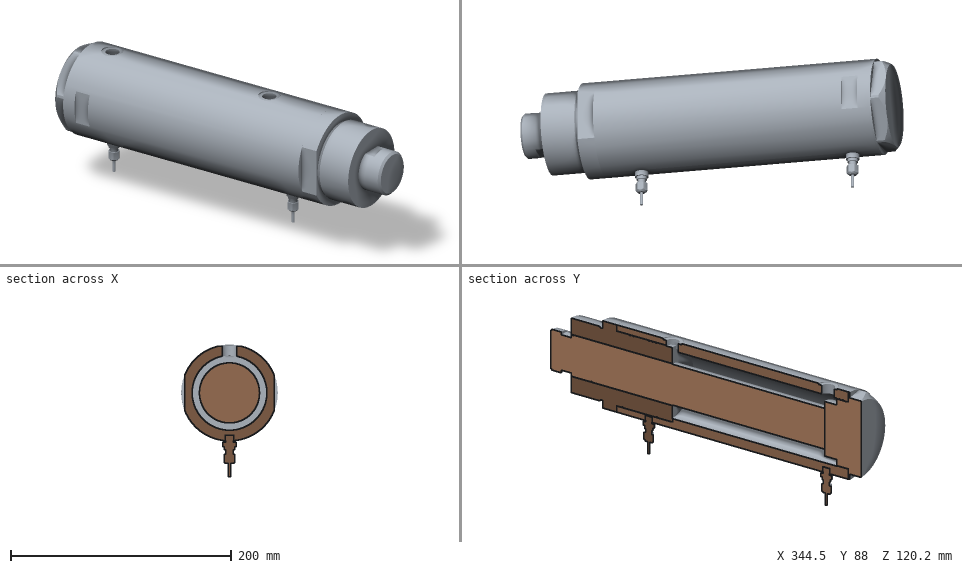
import cadquery as cq
import math

BODY_DIAMETER = 88.0
BODY_RADIUS = BODY_DIAMETER / 2
BORE_RADIUS = 33.8
GUIDE_RADIUS = 37.2
ROD_RADIUS = 20.5
LENGTH = 344.5
FLATS_ACROSS = 75.8

CAP_HEX_END = 12.7
TUBE_START = 14.8
CAP_PLUG_END = 27.5
CAP_NOSE_END = 41.0
GUIDE_START = 209.5
TUBE_END = 271.0
FLANGE_END = 287.0
COLLAR_START = 288.5
COLLAR_END = 321.5

HEX_CORNER_RADIUS = 43.0
HEX_CHAMFER = 5.0
HEX_TURN = 8.9
CAP_NOSE_RADIUS = 27.5

SLOT_START = 25.0
SLOT_LENGTH = 14.8
SLOT_ACROSS = 82.0
PORT_POSITIONS = (37.2, GUIDE_START)
PORT_RADIUS = 6.5
SPOTFACE_RADIUS = 10.0
SPOTFACE_HEIGHT = 42.7

COLLAR_RADIUS = 37.5
COLLAR_CHAMFER = 1.5
NECK_RADIUS = COLLAR_RADIUS - COLLAR_CHAMFER

ROD_CHAMFER = 2.0
ROD_FLATS_ACROSS = 35.8
ROD_FLATS_LENGTH = 10.7

SENSOR_POSITIONS = (39.0, 235.5)
STEM_RADIUS = 3.8
STEM_DEPTH = 5.0
SHOULDER_RADIUS = 6.2
SHOULDER_TOP = -44.8
SHOULDER_BOTTOM = -49.3
STEP_RADIUS = 4.8
STEP_BOTTOM = -52.0
SENSOR_NECK_RADIUS = 3.8
NUT_TOP = -55.5
NUT_BOTTOM = -64.5
NUT_ACROSS = 9.5
NUT_CHAMFER = 2.0
CABLE_RADIUS = 1.5
OVERALL_HEIGHT = 120.2
CABLE_BOTTOM = BODY_RADIUS - OVERALL_HEIGHT


def x_cylinder(radius, start, end):
    """Cylinder on the X axis between two stations."""
    return cq.Workplane("YZ").workplane(offset=start).circle(radius).extrude(end - start)


def z_cylinder(x, radius, bottom, top):
    """Upright cylinder at a station, through the X axis line."""
    return cq.Workplane("XY", origin=(x, 0, bottom)).circle(radius).extrude(top - bottom)


def slab(start, end, size_y, size_z):
    """Block centred on the X axis between two stations."""
    from_start = (False, True, True)
    return cq.Workplane("XY", origin=(start, 0, 0)).box(end - start, size_y, size_z, centered=from_start)


def hexagon_diameter(across_flats):
    """Diameter over the corners of a hexagon."""
    return across_flats / math.cos(math.pi / 6)


def make_cap():
    """Hexagonal end cap with a flange, a plug in the bore and a narrower nose."""
    corner_diameter = hexagon_diameter(FLATS_ACROSS)
    hexagon = (
        cq.Workplane("YZ")
        .polygon(6, corner_diameter)
        .extrude(CAP_HEX_END)
        .rotate((0, 0, 0), (1, 0, 0), -HEX_TURN)
    )
    corner_trim = x_cylinder(HEX_CORNER_RADIUS, 0, CAP_HEX_END).faces("<X").chamfer(HEX_CHAMFER)
    flange = x_cylinder(BODY_RADIUS, CAP_HEX_END, TUBE_START)
    plug = x_cylinder(BORE_RADIUS, TUBE_START, CAP_PLUG_END)
    nose = x_cylinder(CAP_NOSE_RADIUS, CAP_PLUG_END, CAP_NOSE_END)
    return hexagon.intersect(corner_trim).union(flange).union(plug).union(nose)


def make_tube():
    """Tube with a stepped bore, two wrench slots, two spotfaced ports on top and two sensor holes below."""
    tube = x_cylinder(BODY_RADIUS, TUBE_START, TUBE_END)
    tube = tube.cut(x_cylinder(BORE_RADIUS, TUBE_START, GUIDE_START))
    tube = tube.cut(x_cylinder(GUIDE_RADIUS, GUIDE_START, TUBE_END))

    slot_end = SLOT_START + SLOT_LENGTH
    slot_band = slab(SLOT_START, slot_end, BODY_DIAMETER, BODY_DIAMETER)
    tube = tube.cut(slot_band.cut(slab(SLOT_START, slot_end, SLOT_ACROSS, BODY_DIAMETER)))

    for x in PORT_POSITIONS:
        tube = tube.cut(z_cylinder(x, PORT_RADIUS, 0, BODY_RADIUS))
        tube = tube.cut(z_cylinder(x, SPOTFACE_RADIUS, SPOTFACE_HEIGHT, BODY_RADIUS))

    for x in SENSOR_POSITIONS:
        tube = tube.cut(z_cylinder(x, STEM_RADIUS, -BODY_RADIUS, STEM_DEPTH - BODY_RADIUS))
    return tube


def make_head():
    """Rod-end head: guide in the wider bore, flange with two flats, neck and chamfered collar."""
    flange = x_cylinder(BODY_RADIUS, TUBE_END, FLANGE_END)
    flange = flange.intersect(slab(TUBE_END, FLANGE_END, FLATS_ACROSS, BODY_DIAMETER))
    guide = x_cylinder(GUIDE_RADIUS, GUIDE_START, TUBE_END)
    neck = x_cylinder(NECK_RADIUS, FLANGE_END, COLLAR_START)
    collar = x_cylinder(COLLAR_RADIUS, COLLAR_START, COLLAR_END).faces("<X").chamfer(COLLAR_CHAMFER)
    rod_hole = x_cylinder(ROD_RADIUS, GUIDE_START, COLLAR_END)
    return flange.union(guide).union(neck).union(collar).cut(rod_hole)


def make_rod():
    """Rod with a chamfered end and two wrench flats just outside the head."""
    rod = x_cylinder(ROD_RADIUS, CAP_NOSE_END, LENGTH).faces(">X").chamfer(ROD_CHAMFER)
    flats_end = COLLAR_END + ROD_FLATS_LENGTH
    rod_width = 2 * ROD_RADIUS
    flats_band = slab(COLLAR_END, flats_end, rod_width, rod_width)
    return rod.cut(flats_band.cut(slab(COLLAR_END, flats_end, rod_width, ROD_FLATS_ACROSS)))


def make_sensor(x):
    """Stepped sensor with a stem in the tube wall, a hexagonal nut and a cable."""
    stem = z_cylinder(x, STEM_RADIUS, SHOULDER_TOP, STEM_DEPTH - BODY_RADIUS)
    shoulder = z_cylinder(x, SHOULDER_RADIUS, SHOULDER_BOTTOM, SHOULDER_TOP)
    step = z_cylinder(x, STEP_RADIUS, STEP_BOTTOM, SHOULDER_BOTTOM)
    neck = z_cylinder(x, SENSOR_NECK_RADIUS, NUT_TOP, STEP_BOTTOM)
    cable = z_cylinder(x, CABLE_RADIUS, CABLE_BOTTOM, NUT_BOTTOM)

    nut_diameter = hexagon_diameter(NUT_ACROSS)
    nut = cq.Workplane("XY", origin=(x, 0, NUT_BOTTOM)).polygon(6, nut_diameter)
    nut = nut.extrude(NUT_TOP - NUT_BOTTOM)
    nut_trim = z_cylinder(x, nut_diameter / 2, NUT_BOTTOM, NUT_TOP).faces("<Z").chamfer(NUT_CHAMFER)
    return stem.union(shoulder).union(step).union(neck).union(nut.intersect(nut_trim)).union(cable)


cap = make_cap()
tube = make_tube()
head = make_head()
rod = make_rod()
sensors = [make_sensor(x) for x in SENSOR_POSITIONS]

result = cq.Compound.makeCompound(
    [cap.val(), tube.val(), head.val(), rod.val(), *[sensor.val() for sensor in sensors]]
)